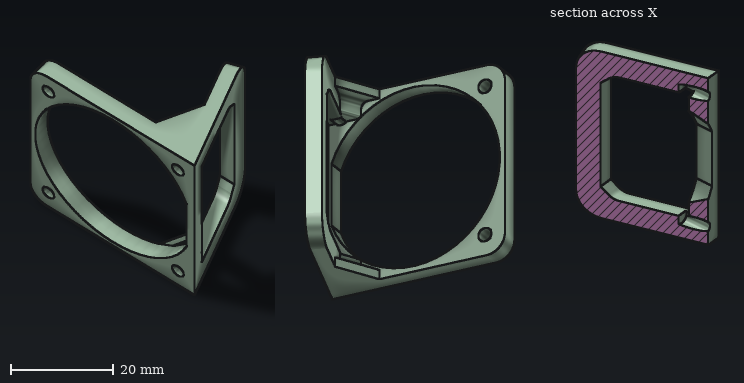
import cadquery as cq
import math

height = 41.0
overall_width = 38.62
overall_depth = 29.03
tilt = 17.6
ring_thickness = 4.0
ring_corner_radius = 4.0
back_thickness = 3.4
back_corner_radius = 5.37
gusset_back_y = 15.0
gusset_corner_x = 10.82

opening_radius = 19.25
opening_center = 20.1
opening_margin = 2.0
screw_diameter = 2.85
screw_spacing = 32.0
screw_depth = 6.0

window_height = 30.18
window_far_y = 23.9
window_chamfer_depth = 1.35
window_chamfer_height = 1.27
window_arc_depth = 2.45
window_arc_height = 1.15

gusset_web = 2.0
recess_depth = 3.55
recess_floor_radius = 1.4
recess_lip_radius = 0.78

cos_tilt = math.cos(math.radians(tilt))
sin_tilt = math.sin(math.radians(tilt))
ring_length = overall_width / cos_tilt
reach = 2 * height
gusset_corner_y = gusset_corner_x * sin_tilt / cos_tilt + ring_thickness / cos_tilt


def ring_point(u, depth):
    """X, Y of a point u along the ring plate and depth behind its front face."""
    return (-u * cos_tilt + depth * sin_tilt, u * sin_tilt + depth * cos_tilt)


ring_plane = cq.Plane(origin=(0, 0, 0), xDir=(-cos_tilt, sin_tilt, 0), normal=(sin_tilt, cos_tilt, 0))
along_plane = cq.Plane(
    origin=(0, 0, 0), xDir=(sin_tilt, cos_tilt, 0), normal=(cos_tilt, -sin_tilt, 0)
)


def body():
    outline = [
        (0, 0),
        ring_point(ring_length, 0),
        ring_point(ring_length, ring_thickness),
        (-gusset_corner_x, gusset_corner_y),
        (-back_thickness, gusset_back_y),
        (-back_thickness, overall_depth),
        (0, overall_depth),
    ]
    solid = cq.Workplane("XY").polyline(outline).close().extrude(height / 2, both=True)
    ring_end = ring_point(ring_length, ring_thickness / 2)
    for end, radius in (
        (ring_end, ring_corner_radius),
        ((-back_thickness / 2, overall_depth), back_corner_radius),
    ):
        for z in (-height / 2, height / 2):
            solid = solid.edges(cq.selectors.NearestToPointSelector((*end, z))).fillet(radius)
    return solid


def opening():
    disc = cq.Workplane(ring_plane).center(opening_center, 0).circle(opening_radius).extrude(ring_thickness)
    keep = cq.Workplane(ring_plane).center(opening_margin + height / 2, 0).rect(height, height)
    return disc.intersect(keep.extrude(ring_thickness))


def screw_holes():
    return (
        cq.Workplane(ring_plane)
        .center(opening_center, 0)
        .rect(screw_spacing, screw_spacing, forConstruction=True)
        .vertices()
        .circle(screw_diameter / 2)
        .extrude(screw_depth)
    )


def window():
    """Window cut parallel to the ring plate, each far corner an arc that runs into a chamfer."""
    far_depth = window_far_y * cos_tilt - back_thickness * sin_tilt
    half = window_height / 2
    chamfer_start = far_depth - window_chamfer_depth
    arc_start = chamfer_start - window_arc_depth
    window_arc_radius = (window_arc_depth**2 + window_arc_height**2) / (2 * window_arc_height)
    arc_end_z = half - window_arc_height
    jamb_end_z = arc_end_z - window_chamfer_height
    return (
        cq.Workplane(along_plane)
        .moveTo(ring_thickness, -half)
        .lineTo(arc_start, -half)
        .tangentArcPoint((chamfer_start, -arc_end_z), relative=False)
        .lineTo(far_depth, -jamb_end_z)
        .lineTo(far_depth, jamb_end_z)
        .lineTo(chamfer_start, arc_end_z)
        .radiusArc((arc_start, half), -window_arc_radius)
        .lineTo(ring_thickness, half)
        .close()
        .extrude(reach / 2, both=True)
    )


def gusset_recess():
    """Relief behind the slanted gusset face, leaving thin webs at the top and bottom."""
    run = gusset_corner_x - back_thickness
    rise = gusset_back_y - gusset_corner_y
    slant = math.hypot(run, rise)
    slant_plane = cq.Plane(
        origin=(-gusset_corner_x, gusset_corner_y, 0),
        xDir=(rise / slant, -run / slant, 0),
        normal=(run / slant, rise / slant, 0),
    )
    half = window_height / 2
    floor_z = height / 2 - gusset_web
    profile = (
        cq.Workplane(slant_plane)
        .moveTo(-reach, -floor_z)
        .lineTo(recess_depth - recess_floor_radius, -floor_z)
        .tangentArcPoint((recess_depth, recess_floor_radius - floor_z), relative=False)
        .lineTo(recess_depth, -half - recess_lip_radius)
        .tangentArcPoint((recess_depth + recess_lip_radius, -half), relative=False)
        .lineTo(recess_depth + recess_lip_radius, half)
        .radiusArc((recess_depth, half + recess_lip_radius), recess_lip_radius)
        .lineTo(recess_depth, floor_z - recess_floor_radius)
        .tangentArcPoint((recess_depth - recess_floor_radius, floor_z), relative=False)
        .lineTo(-reach, floor_z)
        .close()
        .extrude(reach, both=True)
    )
    space_outline = [
        (-back_thickness, (ring_thickness + back_thickness * sin_tilt) / cos_tilt),
        ring_point(reach, ring_thickness),
        (-reach, reach),
        (-back_thickness, reach),
    ]
    clear_space = cq.Workplane("XY").polyline(space_outline).close().extrude(height / 2, both=True)
    return profile.intersect(clear_space)


result = body()
for cutter in (opening(), screw_holes(), window(), gusset_recess()):
    result = result.cut(cutter)